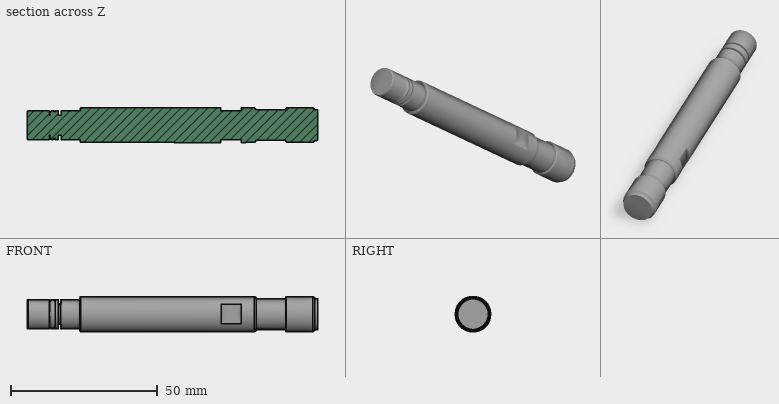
import cadquery as cq

length = 98.9
body_radius = 12.0 / 2

spigot_radius = 10.0 / 2
spigot_chamfer_length = 0.4
spigot_chamfer_depth = 0.2
seal_groove_start = 7.5
seal_groove_end = 9.5
seal_section_radius = 2.0 / 2
seal_centre = 8.6
ring_groove_start = 10.6
ring_groove_width = 0.9
groove_root_radius = 7.0 / 2

body_start = 17.9
body_end = 77.9
head_start = 87.9
neck_radius = 10.6 / 2
edge_length = 0.3
edge_depth = 0.5
body_end_edge_length = 0.6

tip_chamfer_start = 97.2
tip_start = 97.8
tip_start_radius = 10.8 / 2
tip_end_radius = 10.5 / 2

flat_start = 66.0
flat_length = 6.8
flat_distance = 10.0


def turned_shaft():
    """Half profile revolved about the X axis."""
    ring_groove_end = ring_groove_start + ring_groove_width
    profile = (
        cq.Workplane("XY")
        .lineTo(0, spigot_radius - spigot_chamfer_depth)
        .lineTo(spigot_chamfer_length, spigot_radius)
        .lineTo(seal_groove_start, spigot_radius)
        .lineTo(seal_groove_start, groove_root_radius)
        .lineTo(seal_groove_end, groove_root_radius)
        .lineTo(seal_groove_end, spigot_radius)
        .lineTo(ring_groove_start, spigot_radius)
        .lineTo(ring_groove_start, groove_root_radius)
        .lineTo(ring_groove_end, groove_root_radius)
        .lineTo(ring_groove_end, spigot_radius)
        .lineTo(body_start, spigot_radius)
        .lineTo(body_start, body_radius - edge_depth)
        .lineTo(body_start + edge_length, body_radius)
        .lineTo(body_end - body_end_edge_length, body_radius)
        .lineTo(body_end, body_radius - edge_depth)
        .lineTo(body_end, neck_radius)
        .lineTo(head_start, neck_radius)
        .lineTo(head_start, body_radius - edge_depth)
        .lineTo(head_start + edge_length, body_radius)
        .lineTo(tip_chamfer_start, body_radius)
        .lineTo(tip_start, tip_start_radius)
        .lineTo(length, tip_end_radius)
        .lineTo(length, 0)
        .close()
    )
    return profile.revolve(360, (0, 0, 0), (1, 0, 0))


def seal_ring():
    """O-ring seated in its groove, flush with the spigot and pressed into the +X wall."""
    centre_radius = spigot_radius - seal_section_radius
    section = cq.Workplane("XY").center(seal_centre, centre_radius).circle(seal_section_radius)
    return section.revolve(360, (-seal_centre, -centre_radius, 0), (1 - seal_centre, -centre_radius, 0))


def flat_cutter(side):
    """Block that leaves one wrench flat; side is +1 or -1 along Y."""
    centre_x = flat_start + flat_length / 2
    centre_y = side * (flat_distance + body_radius) / 2
    block = cq.Workplane("XY").box(flat_length, body_radius, 2 * body_radius)
    return block.translate((centre_x, centre_y, 0))


result = turned_shaft().union(seal_ring())
for side in (-1, 1):
    result = result.cut(flat_cutter(side))